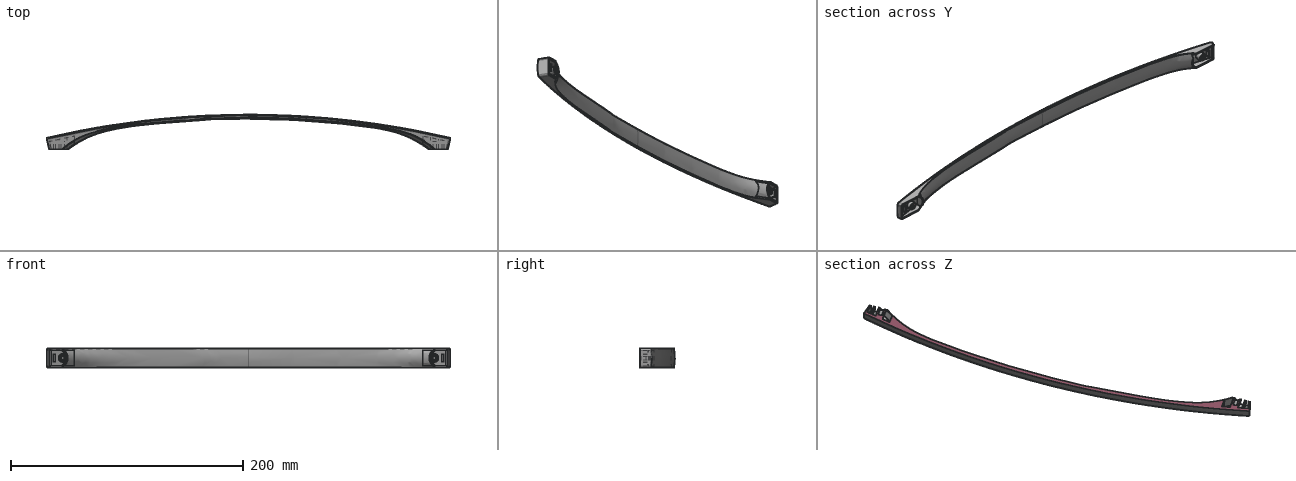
import cadquery as cq
import math

LENGTH = 347.79
HEIGHT = 30.18
WIDTH = 17.0
HALF_WIDTH = WIDTH / 2

BOW_RADIUS = 760.0
CROWN = 0.9
OUTER_EDGE_RADIUS = 0.6
INNER_EDGE_RADIUS = 0.5
END_ROUNDING_LOSS = 0.12
END_CORNER_RADIUS = 1.8

CENTRE_THICKNESS = 3.9
EDGE_DEPTH = 2.9
CENTRE_FLARE_START = 114.0
EDGE_FLARE_START = 126.0
CENTRE_FOOT_X = 155.5
EDGE_FOOT_X = 161.0

SCREW_SPACING = 320.0
WALL = 1.7
RECESS_START = 150.0
FLOOR_THICKNESS = 2.5
BOSS_DIAMETER = 7.0
SCREW_HOLE_DIAMETER = 3.0
SCREW_HOLE_DEPTH = 7.0
SCREW_CHAMFER = 0.8
PAD_LENGTH = 1.5
PAD_WIDTH = 6.5
PAD_X = 167.3

BOW_CENTRE_Y = HEIGHT - BOW_RADIUS
END_ANGLE = math.degrees(math.asin((LENGTH / 2 + END_ROUNDING_LOSS) / BOW_RADIUS))
CLEARANCE = 10.0


def on_circle(centre, radius, angle):
    """Point on a circle at an angle in radians, measured from +Y toward +X."""
    return (centre[0] + radius * math.sin(angle), centre[1] + radius * math.cos(angle))


def bow_sector(outer_radius, width, crown=0.0, end_inset=0.0):
    """Sector about the bow centre with radial ends, reaching below the feet."""
    inner_radius = BOW_RADIUS - HEIGHT - CLEARANCE
    half = width / 2
    half_angle = END_ANGLE - math.degrees(end_inset / BOW_RADIUS)
    section = (
        cq.Workplane("YZ", origin=(0, BOW_CENTRE_Y, 0))
        .moveTo(inner_radius, -half)
        .lineTo(outer_radius - crown, -half)
    )
    if crown:
        section = section.threePointArc((outer_radius, 0), (outer_radius - crown, half))
    else:
        section = section.lineTo(outer_radius, half)
    sector = section.lineTo(inner_radius, half).close().revolve(2 * half_angle, (0, 0), (0, 1))
    return sector.rotate((0, BOW_CENTRE_Y, 0), (0, BOW_CENTRE_Y, 1), -half_angle)


def inner_wire(z, radius, flare_start, foot_x):
    """Closed outline of the space under the bar.

    Each half is one spline along a bow arc and the tighter flare arc that runs on from it to the foot.
    """
    bow_centre = (0, BOW_CENTRE_Y)
    join_angle = math.asin(flare_start / radius)
    join = on_circle(bow_centre, radius, join_angle)
    step = (join[0] - foot_x, join[1])
    step_along_normal = step[0] * math.sin(join_angle) + step[1] * math.cos(join_angle)
    flare_radius = (step[0] ** 2 + step[1] ** 2) / (2 * step_along_normal)
    flare_centre = on_circle(join, -flare_radius, join_angle)
    foot_angle = math.atan2(foot_x - flare_centre[0], -flare_centre[1])
    slope_x = math.cos(foot_angle)
    slope_y = math.sin(foot_angle)

    right_half = [
        on_circle(bow_centre, radius, 0),
        on_circle(bow_centre, radius, join_angle / 3),
        on_circle(bow_centre, radius, join_angle * 2 / 3),
        join,
        on_circle(flare_centre, flare_radius, (join_angle + foot_angle) / 2),
        (foot_x, 0),
    ]
    left_half = [(-x, y) for x, y in reversed(right_half)]
    outline = (
        cq.Workplane("XY", origin=(0, 0, z))
        .moveTo(*right_half[0])
        .spline(right_half[1:], tangents=[(1, 0), (slope_x, -slope_y)], includeCurrent=True)
        .lineTo(-foot_x, 0)
        .spline(left_half[1:], tangents=[(slope_x, slope_y), (1, 0)], includeCurrent=True)
        .close()
    )
    return outline.val()


def space_under_bar(wall=0.0):
    """Space between the feet; its roof sags toward the centre line. A wall moves the flares outward."""
    edge_radius = BOW_RADIUS - EDGE_DEPTH
    centre_radius = BOW_RADIUS - CENTRE_THICKNESS
    wires = [
        inner_wire(-HALF_WIDTH, edge_radius, EDGE_FLARE_START + wall, EDGE_FOOT_X + wall),
        inner_wire(0, centre_radius, CENTRE_FLARE_START + wall, CENTRE_FOOT_X + wall),
        inner_wire(HALF_WIDTH, edge_radius, EDGE_FLARE_START + wall, EDGE_FOOT_X + wall),
    ]
    return cq.Workplane("XY").newObject([cq.Solid.makeLoft(wires)])


def box_between(x_min, x_max, y_min, y_max, width):
    """Box centred on Z between the given X and Y limits."""
    box = cq.Workplane("XY").box(x_max - x_min, y_max - y_min, width)
    return box.translate(((x_min + x_max) / 2, (y_min + y_max) / 2, 0))


def foot_cylinder(x, diameter, depth):
    """Cylinder rising from the foot face along +Y."""
    return cq.Workplane("XZ", origin=(x, 0, 0)).circle(diameter / 2).extrude(-depth)


def outer_body():
    """Crowned bow with flat feet, rounded end corners and rounded outer edges."""
    body = bow_sector(BOW_RADIUS, WIDTH, CROWN)
    ground = box_between(-LENGTH, LENGTH, -BOW_RADIUS, 0, 2 * WIDTH)
    body = body.cut(ground)
    body = body.faces("<X or >X").edges("<Z or >Z").fillet(END_CORNER_RADIUS)
    return body.faces("<Z or >Z").edges("%CIRCLE").fillet(OUTER_EDGE_RADIUS)


def foot_recesses():
    """Hollows in both feet, leaving side, end and flare walls, the screw boss and the pad."""
    recess = bow_sector(BOW_RADIUS - CROWN - FLOOR_THICKNESS, WIDTH - 2 * WALL, end_inset=WALL)
    recess = recess.cut(space_under_bar(WALL))
    recess = recess.cut(box_between(-RECESS_START, RECESS_START, -BOW_RADIUS, HEIGHT, WIDTH))
    for side in (-1, 1):
        boss = foot_cylinder(side * SCREW_SPACING / 2, BOSS_DIAMETER, HEIGHT)
        pad_x = side * PAD_X
        pad = box_between(pad_x - PAD_LENGTH / 2, pad_x + PAD_LENGTH / 2, 0, HEIGHT, PAD_WIDTH)
        recess = recess.cut(boss).cut(pad)
    return recess


def screw_hole(x):
    """Blind screw hole with a chamfered mouth."""
    hole_radius = SCREW_HOLE_DIAMETER / 2
    mouth_radius = hole_radius + SCREW_CHAMFER
    mouth = cq.Solid.makeCone(
        mouth_radius, hole_radius, SCREW_CHAMFER, pnt=cq.Vector(x, 0, 0), dir=cq.Vector(0, 1, 0)
    )
    hole = foot_cylinder(x, SCREW_HOLE_DIAMETER, SCREW_HOLE_DEPTH)
    return hole.union(cq.Workplane("XY").newObject([mouth]))


def reaches_foot(edge):
    """True for an edge that comes down to the plane of the feet, as only the inner long edges do."""
    return edge.BoundingBox().ymin < INNER_EDGE_RADIUS


def handle():
    """Hollow-footed bow with rounded long edges and two screw holes."""
    body = outer_body().cut(space_under_bar())
    curved_side_edges = body.faces("<Z or >Z").edges("%BSPLINE")
    body = curved_side_edges.filter(reaches_foot).fillet(INNER_EDGE_RADIUS)
    body = body.cut(foot_recesses())
    for side in (-1, 1):
        body = body.cut(screw_hole(side * SCREW_SPACING / 2))
    return body


result = handle()